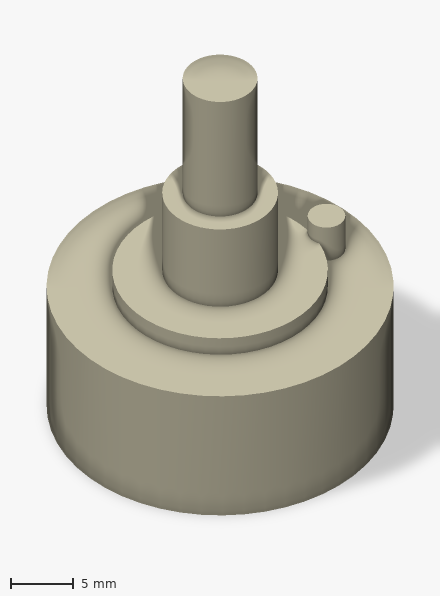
import cadquery as cq

total_height = 33.75
body_diameter = 27.7
body_height = 12.3
flange_diameter = 17.2
flange_height = 1.7
bushing_diameter = 9.25
bushing_height = 7.95
shaft_diameter = 5.97
shaft_height = total_height - body_height - flange_height - bushing_height

pin_diameter = 3.0
pin_height = 3.4
pin_offset = 9.72


def add_cylinder(part, diameter, height):
    """Stack a coaxial cylinder on the top face of the part."""
    return part.faces(">Z").workplane().circle(diameter / 2).extrude(height)


result = cq.Workplane("XY").circle(body_diameter / 2).extrude(body_height)
for diameter, height in (
    (flange_diameter, flange_height),
    (bushing_diameter, bushing_height),
    (shaft_diameter, shaft_height),
):
    result = add_cylinder(result, diameter, height)

pin = (
    cq.Workplane("XY")
    .workplane(offset=body_height)
    .center(0, pin_offset)
    .circle(pin_diameter / 2)
    .extrude(pin_height)
)
result = result.union(pin)